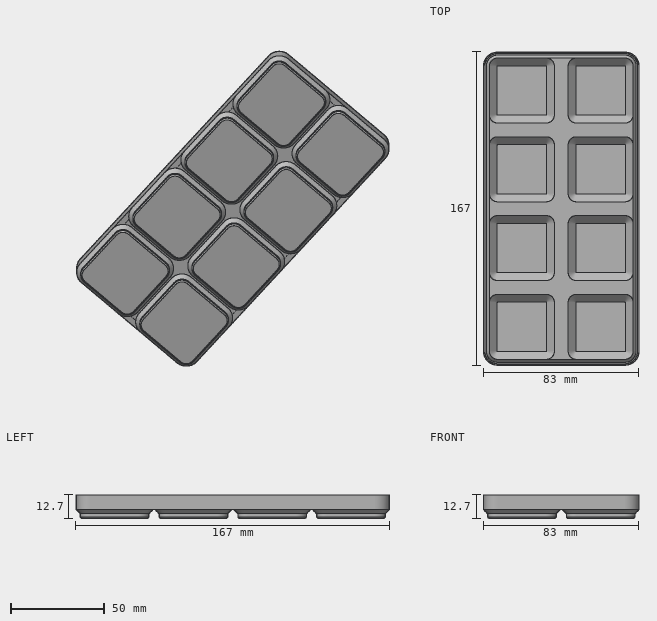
import cadquery as cq
import math

length = 167.0
columns = 2
rows = 4
foot_gap = 1.0
pitch = (length + foot_gap) / rows
cell_size = pitch - foot_gap
width = columns * pitch - foot_gap

height = 12.7
corner_radius = 7.5

foot_lower_chamfer = 0.75
foot_straight_height = 1.8
foot_upper_chamfer = 2.2
foot_height = foot_lower_chamfer + foot_straight_height + foot_upper_chamfer

wall_thickness = 3.2
floor_height = 5.3
pocket_depth = 4.2

groove_lip = 0.78
groove_flat_end = 1.59
groove_slope_angle = 51
groove_slope_run = wall_thickness - groove_flat_end
groove_depth = groove_slope_run * math.tan(math.radians(groove_slope_angle))


def rounded_wire(size_x, size_y, inset, z):
    """Rounded rectangle at height z, offset inward by inset with concentric corners."""
    outline = cq.Workplane("XY", origin=(0, 0, z)).rect(size_x - 2 * inset, size_y - 2 * inset)
    face = cq.Face.makeFromWires(outline.val())
    return face.fillet2D(corner_radius - inset, face.Vertices()).outerWire()


def upright_block(size_x, size_y, inset, bottom, top):
    """Rounded block with vertical sides between two heights."""
    wire = rounded_wire(size_x, size_y, inset, bottom)
    return cq.Workplane(cq.Solid.extrudeLinear(wire, [], cq.Vector(0, 0, top - bottom)))


def tapered_block(size_x, size_y, bottom_inset, top_inset, bottom, top):
    """Rounded block whose sides slope from one inset to another."""
    bottom_wire = rounded_wire(size_x, size_y, bottom_inset, bottom)
    top_wire = rounded_wire(size_x, size_y, top_inset, top)
    return cq.Workplane(cq.Solid.makeLoft([bottom_wire, top_wire], True))


def make_foot():
    """Stepped foot: 45 degree chamfer, upright band, then a wider 45 degree chamfer."""
    band_bottom = foot_lower_chamfer
    band_top = band_bottom + foot_straight_height
    band_inset = foot_upper_chamfer
    bottom_inset = band_inset + foot_lower_chamfer
    lower = tapered_block(cell_size, cell_size, bottom_inset, band_inset, 0, band_bottom)
    band = upright_block(cell_size, cell_size, band_inset, band_bottom, band_top)
    upper = tapered_block(cell_size, cell_size, band_inset, 0, band_top, foot_height)
    return lower.union(band).union(upper)


def make_pocket():
    """Pocket with 45 degree sides and rounded corners that narrow towards its floor."""
    bottom = floor_height - pocket_depth
    bottom_inset = wall_thickness + pocket_depth
    return tapered_block(cell_size, cell_size, bottom_inset, wall_thickness, bottom, floor_height)


def make_groove():
    """Ring cut into the wall's top, leaving a thin outer lip and a sharp inner ridge."""
    bottom = height - groove_depth
    outer = upright_block(width, length, groove_lip, bottom, height)
    ridge = tapered_block(width, length, groove_flat_end, wall_thickness, bottom, height)
    return outer.cut(ridge)


def at_every_cell(shape):
    """One copy of the shape in each cell of the grid."""
    centers = cq.Workplane("XY").rarray(pitch, pitch, columns, rows)
    return centers.eachpoint(lambda place: shape.val().moved(place))


tray = upright_block(width, length, 0, foot_height, height)
tray = tray.union(at_every_cell(make_foot()))
tray = tray.cut(upright_block(width, length, wall_thickness, floor_height, height))
tray = tray.cut(at_every_cell(make_pocket()))
result = tray.cut(make_groove())